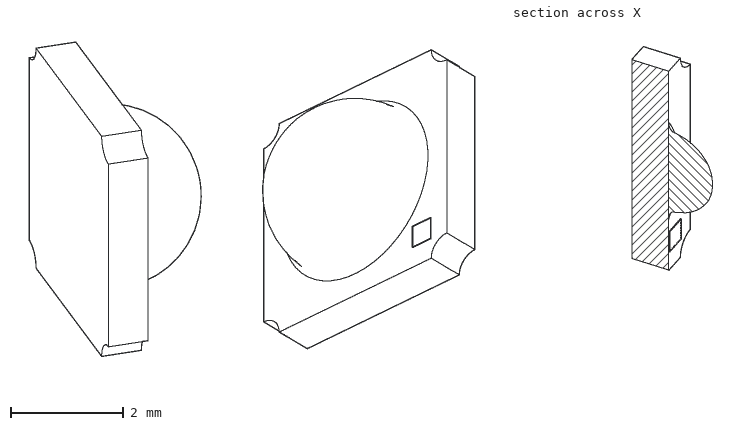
import cadquery as cq
import math

plate_side = 4.4
plate_thickness = 0.75
notch_radius = 0.375

lens_radius = 1.65
flare_radius = 0.1

mark_side = 0.44
mark_thickness = 0.018
mark_min_x = -1.825
mark_min_z = -1.785


def point_on_circle(center_x, center_y, radius, angle):
    """Point at an angle, in radians, on a circle."""
    return (center_x + radius * math.cos(angle), center_y + radius * math.sin(angle))


def make_plate():
    """Square plate from Y = -plate_thickness to Y = 0, with quarter-round corner notches."""
    board = cq.Workplane("XZ").rect(plate_side, plate_side).extrude(plate_thickness)
    notches = (
        cq.Workplane("XZ")
        .rect(plate_side, plate_side, forConstruction=True)
        .vertices()
        .circle(notch_radius)
        .extrude(plate_thickness)
    )
    return board.cut(notches)


def make_lens():
    """Hemisphere on the Y = 0 face; its flare is tangent to both the sphere and the plate."""
    center_distance = lens_radius + flare_radius
    foot_radius = math.sqrt(center_distance**2 - flare_radius**2)
    tangent_angle = math.asin(flare_radius / center_distance)
    mid_angle = (tangent_angle + math.pi / 2) / 2

    flare_mid = point_on_circle(foot_radius, flare_radius, flare_radius, math.pi + mid_angle)
    tangent_point = point_on_circle(0, 0, lens_radius, tangent_angle)
    dome_mid = point_on_circle(0, 0, lens_radius, mid_angle)

    half_profile = (
        cq.Workplane("XY")
        .lineTo(foot_radius, 0)
        .threePointArc(flare_mid, tangent_point)
        .threePointArc(dome_mid, (0, lens_radius))
        .close()
    )
    return half_profile.revolve(360, (0, 0), (0, 1))


def make_mark():
    """Thin square pad raised from the Y = 0 face toward +Y."""
    return (
        cq.Workplane("XZ")
        .center(mark_min_x, mark_min_z)
        .rect(mark_side, mark_side, centered=False)
        .extrude(-mark_thickness)
    )


plate = make_plate()
lens = make_lens()
mark = make_mark()

result = cq.Compound.makeCompound([plate.val(), lens.val(), mark.val()])